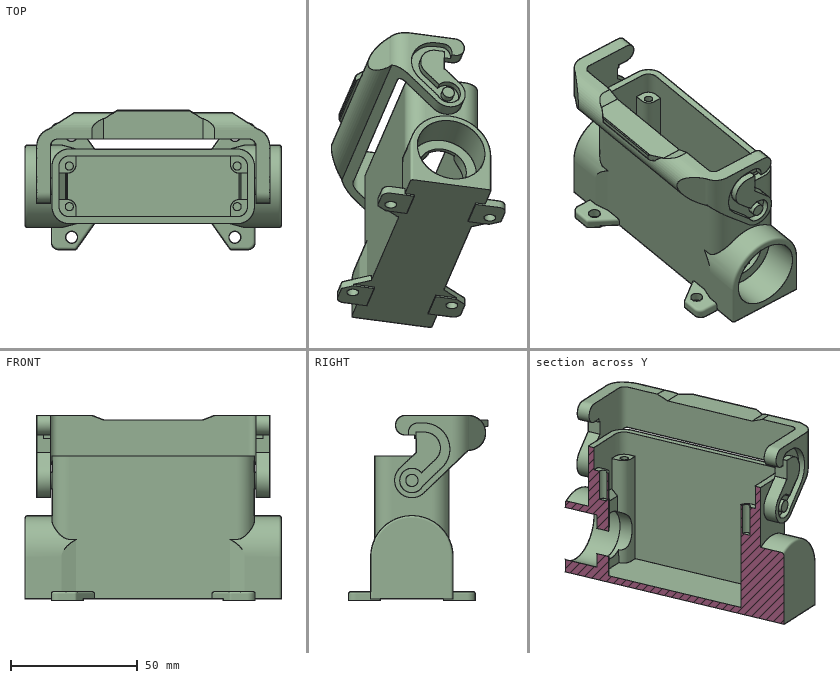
import math
import cadquery as cq

body_half_x = 39.85
body_half_y = 14.7
body_corner_radius = 6.7
body_bottom_z = 0.7
body_top_z = 57.0

wall = 2.75
cavity_half_x = body_half_x - wall
cavity_half_y = body_half_y - wall
cavity_corner_radius = body_corner_radius - wall
floor_thickness = 3.0
floor_z = body_bottom_z + floor_thickness
shoulder_bottom_z = 32.0
shoulder_half_x = 34.5
end_wall_floor_half_x = 33.8

post_inner_x = 30.4
post_inner_y = 5.2
post_round = 3.4
post_top_z = 47.5
post_hole_x = 33.05
post_hole_y = 8.0
post_hole_radius = 1.6
post_hole_depth = 12.0

hood_end_x = 50.5
hood_half_y = 16.25
hood_axis_height = 16.55
hood_axis_z = body_bottom_z + hood_axis_height
hood_taper_outer_x = 36.0
hood_taper_inner_x = 30.3
hood_edge_round = 1.0
entry_radius = 13.65
entry_floor_x = 36.0
passage_radius = 9.6

lug_outer_x = 40.15
lug_outer_y = 25.0
lug_tip_inner_x = 30.4
lug_root_inner_x = 23.1
lug_root_y = body_half_y
lug_height = 3.6
lug_corner_radius = 3.0
lug_tip_radius = 1.0
lug_top_round = 1.0
lug_foot_inner_x = 27.5
lug_foot_inner_y = 12.4
lug_hole_x = 32.15
lug_hole_y = 20.05
lug_hole_radius = 2.3

arm_outer_x = 45.9
arm_inner_x = 40.4
lever_inner_y = 18.6
lever_inner_round = 2.7
lever_corner_start_y = 16.0
lever_corner_mid = (44.4, 20.2)
lever_slant_start = (41.1, 22.6)
lever_slant_end_x = 31.0

lever_top_z = 73.0
pivot_y = 0.0
pivot_z = 47.35
pivot_end_radius = 6.8
pivot_disc_radius = 3.3
hook_radius = 3.9
hook_center_y = -2.6
throat_y = 1.7
throat_stop_drop = 1.4
throat_stop_width = 0.6
grip_radius = 6.95
grip_center_y = 22.1
grip_facets = 22

recess_depth = 2.7
recess_arc_y = 4.75
recess_arc_z = 59.75
recess_outer_radius = 10.2
recess_inner_radius = 6.6
recess_neck_radius = 6.1
recess_end_y = -1.4
recess_end_round = 3.7
recess_pivot_radius = 4.8
pin_radius = 2.4

dip_depth = 1.8
dip_flat_half_x = 19.5
dip_top_half_x = 24.2
tab_rear_y = 30.0
tab_root_y = 26.6
tab_rear_half_x = 14.1
tab_root_half_x = 19.3
tab_thickness = 2.7
tab_edge_chamfer = 0.4

shoulder_top_z = shoulder_bottom_z + cavity_half_x - shoulder_half_x
hook_bottom_z = lever_top_z - 2 * hook_radius
grip_center_z = lever_top_z - grip_radius
dip_z = lever_top_z - dip_depth


def mirrored_x(shape):
    return shape.union(shape.mirror("YZ"))


def mirrored_y(shape):
    return shape.union(shape.mirror("XZ"))


def block(x0, x1, y0, y1, z0, z1):
    return cq.Workplane("XY").box(x1 - x0, y1 - y0, z1 - z0, centered=False).translate((x0, y0, z0))


def x_cylinder(radius, x0, x1, y, z):
    return cq.Workplane("YZ", origin=(x0, y, z)).circle(radius).extrude(x1 - x0)


def make_body():
    height = body_top_z - body_bottom_z
    return (
        cq.Workplane("XY", origin=(0, 0, body_bottom_z))
        .rect(2 * body_half_x, 2 * body_half_y)
        .extrude(height)
        .edges("|Z")
        .fillet(body_corner_radius)
    )


def make_cavity():
    plan = (
        cq.Workplane("XY", origin=(0, 0, floor_z))
        .rect(2 * cavity_half_x, 2 * cavity_half_y)
        .extrude(body_top_z - floor_z)
        .edges("|Z")
        .fillet(cavity_corner_radius)
    )
    end_walls = (
        cq.Workplane("XZ", origin=(0, cavity_half_y, 0))
        .moveTo(cavity_half_x, body_top_z)
        .lineTo(cavity_half_x, shoulder_top_z)
        .lineTo(shoulder_half_x, shoulder_bottom_z)
        .lineTo(end_wall_floor_half_x, floor_z)
        .lineTo(-end_wall_floor_half_x, floor_z)
        .lineTo(-shoulder_half_x, shoulder_bottom_z)
        .lineTo(-cavity_half_x, shoulder_top_z)
        .lineTo(-cavity_half_x, body_top_z)
        .close()
        .extrude(2 * cavity_half_y)
    )
    return plan.intersect(end_walls)


def make_posts():
    overlap = wall / 2
    outer_x = cavity_half_x + overlap
    outer_y = cavity_half_y + overlap
    post = block(post_inner_x, outer_x, post_inner_y, outer_y, floor_z - overlap, post_top_z)
    post = post.edges("|Z and <X and <Y").fillet(post_round)
    post = post.intersect(make_body())
    hole = (
        cq.Workplane("XY", origin=(post_hole_x, post_hole_y, post_top_z))
        .circle(post_hole_radius)
        .extrude(-post_hole_depth)
    )
    return mirrored_x(mirrored_y(post.cut(hole)))


def make_hoods():
    arch = (
        cq.Workplane("YZ", origin=(hood_taper_inner_x, 0, 0))
        .moveTo(-hood_half_y, body_bottom_z)
        .lineTo(-hood_half_y, hood_axis_z)
        .threePointArc((0, hood_axis_z + hood_half_y), (hood_half_y, hood_axis_z))
        .lineTo(hood_half_y, body_bottom_z)
        .close()
        .extrude(hood_end_x - hood_taper_inner_x)
    )
    arch = arch.faces(">X").edges("not <Z").fillet(hood_edge_round)
    plan = (
        cq.Workplane("XY")
        .moveTo(hood_taper_inner_x, -body_half_y)
        .lineTo(hood_taper_outer_x, -hood_half_y)
        .lineTo(hood_end_x, -hood_half_y)
        .lineTo(hood_end_x, hood_half_y)
        .lineTo(hood_taper_outer_x, hood_half_y)
        .lineTo(hood_taper_inner_x, body_half_y)
        .close()
        .extrude(body_top_z)
    )
    return mirrored_x(arch.intersect(plan))


def make_cable_entry():
    """Stepped bore through the -X end; the +X end stays closed."""
    entry = x_cylinder(entry_radius, -hood_end_x, -entry_floor_x, 0, hood_axis_z)
    passage = x_cylinder(passage_radius, -hood_end_x, -post_inner_x, 0, hood_axis_z)
    return entry.union(passage)


def make_lugs():
    lug = (
        cq.Workplane("XY")
        .moveTo(lug_outer_x, lug_foot_inner_y)
        .lineTo(lug_outer_x, lug_outer_y)
        .lineTo(lug_tip_inner_x, lug_outer_y)
        .lineTo(lug_root_inner_x, lug_root_y)
        .lineTo(lug_root_inner_x, lug_foot_inner_y)
        .close()
        .extrude(lug_height)
    )
    lug = lug.edges("|Z and >X and >Y").fillet(lug_corner_radius)
    tip = cq.selectors.NearestToPointSelector((lug_tip_inner_x, lug_outer_y, lug_height / 2))
    lug = lug.edges("|Z").edges(tip).fillet(lug_tip_radius)
    lug = lug.faces(">Z").edges("not <Y").fillet(lug_top_round)
    under_body = block(0, lug_foot_inner_x, 0, lug_outer_y, 0, body_bottom_z)
    hole = cq.Workplane("XY").center(lug_hole_x, lug_hole_y).circle(lug_hole_radius).extrude(lug_height)
    return mirrored_x(mirrored_y(lug.cut(under_body).cut(hole)))


def lever_slope():
    """Angle of the arm edge that runs from the grip's underside tangent to the pivot end."""
    rise = grip_center_z - grip_radius - pivot_z
    run = grip_center_y - pivot_y
    return math.atan2(rise, run) + math.asin(pivot_end_radius / math.hypot(rise, run))


def lever_side_profile():
    slope = lever_slope()
    normal_y = pivot_end_radius * math.sin(slope)
    normal_z = pivot_end_radius * math.cos(slope)
    upper_tangent = (pivot_y - normal_y, pivot_z + normal_z)
    lower_tangent = (pivot_y + normal_y, pivot_z - normal_z)
    far_side = (
        pivot_y - pivot_end_radius * math.cos(slope),
        pivot_z - pivot_end_radius * math.sin(slope),
    )
    throat_bottom_z = upper_tangent[1] + (throat_y - upper_tangent[0]) * math.tan(slope)
    profile = (
        cq.Workplane("YZ", origin=(-arm_outer_x, 0, 0))
        .moveTo(hook_center_y, lever_top_z)
        .threePointArc(
            (hook_center_y - hook_radius, lever_top_z - hook_radius),
            (hook_center_y, hook_bottom_z),
        )
        .lineTo(throat_y, hook_bottom_z)
        .lineTo(throat_y, throat_bottom_z)
        .lineTo(*upper_tangent)
        .threePointArc(far_side, lower_tangent)
    )
    for i in range(grip_facets + 1):
        angle = math.pi * i / grip_facets
        profile = profile.lineTo(
            grip_center_y + grip_radius * math.sin(angle),
            grip_center_z - grip_radius * math.cos(angle),
        )
    return profile.close().extrude(2 * arm_outer_x)


def lever_plan():
    slant_start_x, slant_start_y = lever_slant_start
    rear_y = grip_center_y + grip_radius
    front_y = -2 * pivot_end_radius
    outside = (
        cq.Workplane("XY")
        .moveTo(arm_outer_x, front_y)
        .lineTo(arm_outer_x, lever_corner_start_y)
        .threePointArc(lever_corner_mid, lever_slant_start)
        .lineTo(lever_slant_end_x, rear_y)
        .lineTo(-lever_slant_end_x, rear_y)
        .lineTo(-slant_start_x, slant_start_y)
        .threePointArc((-lever_corner_mid[0], lever_corner_mid[1]), (-arm_outer_x, lever_corner_start_y))
        .lineTo(-arm_outer_x, front_y)
        .close()
        .extrude(lever_top_z)
    )
    inside = block(-arm_inner_x, arm_inner_x, front_y, lever_inner_y, 0, lever_top_z)
    inside = inside.edges("|Z and >Y").fillet(lever_inner_round)
    return outside.cut(inside)


def make_arm_recess():
    """Curved channel in the outer face, from the hook round to the pivot, with a pin left standing."""
    slope = lever_slope()
    out_y, out_z = math.sin(slope), -math.cos(slope)
    along_y, along_z = -math.cos(slope), -math.sin(slope)
    run = (pivot_y - recess_arc_y) * along_y + (pivot_z - recess_arc_z) * along_z
    top_z = recess_arc_z + recess_outer_radius
    corner_reach = recess_end_round * (1 - math.sqrt(0.5))

    def on_arc(radius):
        return recess_arc_y + radius * out_y, recess_arc_z + radius * out_z

    def at_pivot(radius):
        y, z = on_arc(radius)
        return y + run * along_y, z + run * along_z

    def arc_middle(radius):
        angle = slope / 2
        return recess_arc_y + radius * math.cos(angle), recess_arc_z + radius * math.sin(angle)

    face_x = arm_outer_x - recess_depth
    channel = (
        cq.Workplane("YZ", origin=(face_x, 0, 0))
        .moveTo(throat_y, hook_bottom_z)
        .lineTo(recess_end_y, hook_bottom_z)
        .lineTo(recess_end_y, top_z - recess_end_round)
        .threePointArc(
            (recess_end_y + corner_reach, top_z - corner_reach),
            (recess_end_y + recess_end_round, top_z),
        )
        .lineTo(recess_arc_y, top_z)
        .threePointArc(arc_middle(recess_outer_radius), on_arc(recess_outer_radius))
        .lineTo(*at_pivot(recess_outer_radius))
        .lineTo(*at_pivot(recess_neck_radius))
        .lineTo(*on_arc(recess_neck_radius))
        .threePointArc(arc_middle(recess_inner_radius), (recess_arc_y, recess_arc_z + recess_inner_radius))
        .lineTo(throat_y, recess_arc_z + recess_inner_radius)
        .close()
        .extrude(recess_depth)
    )
    around_pivot = x_cylinder(recess_pivot_radius, face_x, arm_outer_x, pivot_y, pivot_z)
    pin = x_cylinder(pin_radius, face_x, arm_outer_x, pivot_y, pivot_z)
    return channel.union(around_pivot).cut(pin)


def make_thumb_dip():
    """Shallow trough with sloping ends across the top of the rear bar."""
    return (
        cq.Workplane("XZ", origin=(0, tab_rear_y, 0))
        .moveTo(-dip_top_half_x, lever_top_z)
        .lineTo(-dip_flat_half_x, dip_z)
        .lineTo(dip_flat_half_x, dip_z)
        .lineTo(dip_top_half_x, lever_top_z)
        .close()
        .extrude(tab_rear_y)
    )


def make_thumb_tab():
    return (
        cq.Workplane("XY", origin=(0, 0, dip_z - tab_thickness))
        .moveTo(-tab_root_half_x, grip_center_y)
        .lineTo(-tab_root_half_x, tab_root_y)
        .lineTo(-tab_rear_half_x, tab_rear_y)
        .lineTo(tab_rear_half_x, tab_rear_y)
        .lineTo(tab_root_half_x, tab_root_y)
        .lineTo(tab_root_half_x, grip_center_y)
        .close()
        .extrude(tab_thickness)
        .faces(">Y")
        .edges("|X")
        .chamfer(tab_edge_chamfer)
    )


def make_lever():
    lever = lever_side_profile().intersect(lever_plan())
    lever = lever.cut(make_thumb_dip()).union(make_thumb_tab())
    lever = lever.cut(mirrored_x(make_arm_recess()))
    throat_stop = block(
        arm_inner_x,
        arm_outer_x - recess_depth,
        throat_y - throat_stop_width,
        throat_y,
        hook_bottom_z - throat_stop_drop,
        hook_bottom_z,
    )
    disc = x_cylinder(pivot_disc_radius, body_half_x - wall / 2, arm_inner_x, pivot_y, pivot_z)
    return lever.union(mirrored_x(throat_stop)).union(mirrored_x(disc))


housing = make_body().union(make_hoods()).union(make_lugs())
housing = housing.cut(make_cavity()).union(make_posts()).cut(make_cable_entry())
result = housing.union(make_lever())